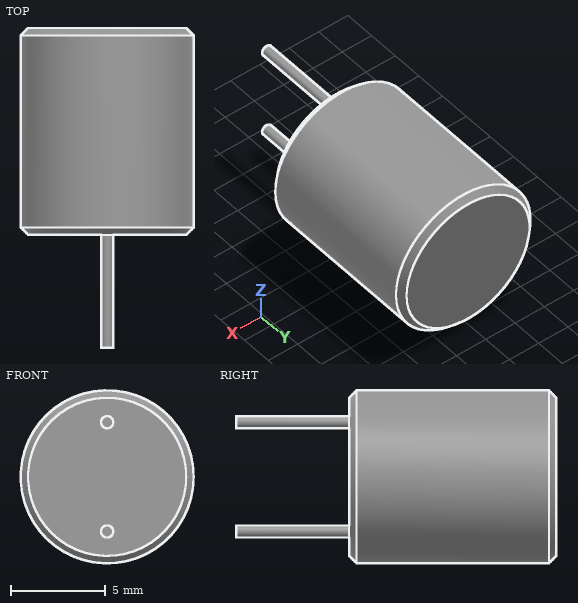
import cadquery as cq

body_diameter = 9.2
body_length = 11.0
edge_chamfer = 0.4

lead_diameter = 0.65
lead_length = 6.0
lead_spacing = 5.8


def make_body():
    """Chamfered cylinder from the lead face at Y = 0 to Y = body_length."""
    cylinder = cq.Workplane("XZ").circle(body_diameter / 2).extrude(-body_length)
    return cylinder.faces("<Y or >Y").edges().chamfer(edge_chamfer)


def make_leads():
    """Pair of pins running from the lead face toward -Y."""
    half_spacing = lead_spacing / 2
    lead_centers = [(0, half_spacing), (0, -half_spacing)]
    return cq.Workplane("XZ").pushPoints(lead_centers).circle(lead_diameter / 2).extrude(lead_length)


result = make_body().union(make_leads())